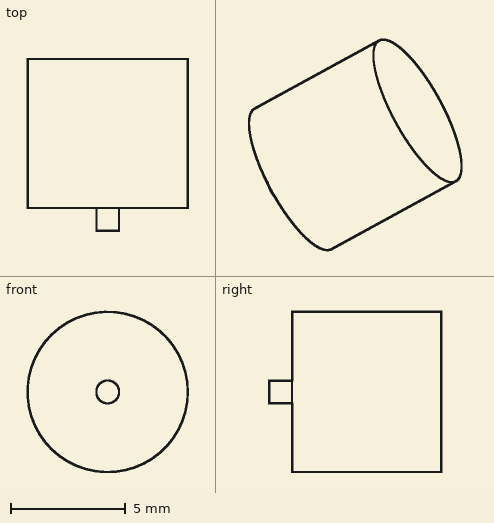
import cadquery as cq

total_length = 7.5
pin_length = 1.0
body_length = total_length - pin_length

body_diameter = 7.0
pin_diameter = 1.0

body = cq.Workplane("XZ").circle(body_diameter / 2).extrude(-body_length)
pin = cq.Workplane("XZ").circle(pin_diameter / 2).extrude(pin_length)

result = body.union(pin)